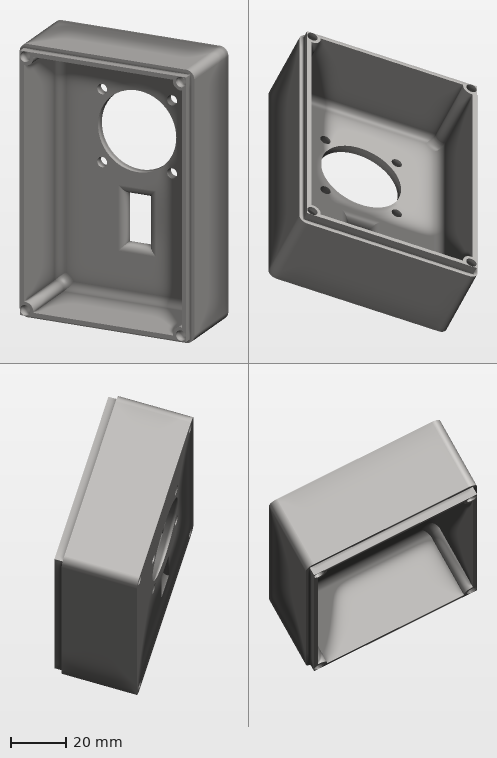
import cadquery as cq

width = 70.0
depth = 31.7
height = 105.0
wall = 3.4
floor_thickness = 3.3
corner_radius = floor_thickness

front_y = -depth / 2
back_y = depth / 2
floor_y = back_y - floor_thickness

rim_height = floor_thickness
rim_inset = wall / 2
body_front_y = front_y + rim_height

post_radius = 3.3
post_hole_diameter = 4.0
post_inset = 3.8

floor_fillet = 3.0

round_opening_diameter = 31.4
round_opening_z = 15.8
screw_hole_diameter = 4.0
screw_hole_pitch = 28.0

window_width = 8.7
window_height = 18.9
window_z = -18.7
window_flare = 3.2


def plane_at(y):
    """Workplane facing -Y at the given depth; local axes are X and Z."""
    return cq.Workplane("XZ", origin=(0, y, 0))


def block(size_x, size_z, y_start, y_end):
    """Rectangular block centred on the Y axis between two depths."""
    return plane_at(y_end).rect(size_x, size_z).extrude(y_end - y_start)


def cylinders(points, diameter, y_start, y_end):
    """Cylinders along Y at the given (x, z) points."""
    return plane_at(y_end).pushPoints(points).circle(diameter / 2).extrude(y_end - y_start)


def square_corners(half_x, half_z, centre_z=0.0):
    """Four (x, z) points around (0, centre_z)."""
    return [(sx * half_x, centre_z + sz * half_z) for sx in (-1, 1) for sz in (-1, 1)]


post_points = square_corners(width / 2 - post_inset, height / 2 - post_inset)

body = block(width, height, body_front_y, back_y).edges("|Y").fillet(corner_radius)
rim = block(width - 2 * rim_inset, height - 2 * rim_inset, front_y, floor_y)
shell = body.union(rim)

cavity = block(width - 2 * wall, height - 2 * wall, front_y, floor_y)
cavity = cavity.cut(cylinders(post_points, 2 * post_radius, front_y, floor_y))
cavity = cavity.faces(">Y").edges().fillet(floor_fillet)
shell = shell.cut(cavity)

post_holes = cylinders(post_points, post_hole_diameter, front_y, back_y)
round_opening = cylinders([(0, round_opening_z)], round_opening_diameter, floor_y, back_y)
screw_points = square_corners(screw_hole_pitch / 2, screw_hole_pitch / 2, round_opening_z)
screw_holes = cylinders(screw_points, screw_hole_diameter, floor_y, back_y)

shell = shell.cut(post_holes).cut(round_opening).cut(screw_holes)

window = block(window_width, window_height, floor_y, back_y).translate((0, 0, window_z))
shell = shell.cut(window)
margin = floor_thickness / 4
window_floor_edges = cq.selectors.BoxSelector(
    (-window_width / 2 - margin, floor_y - margin, window_z - window_height / 2 - margin),
    (window_width / 2 + margin, floor_y + margin, window_z + window_height / 2 + margin),
)
result = shell.edges(window_floor_edges).fillet(window_flare)